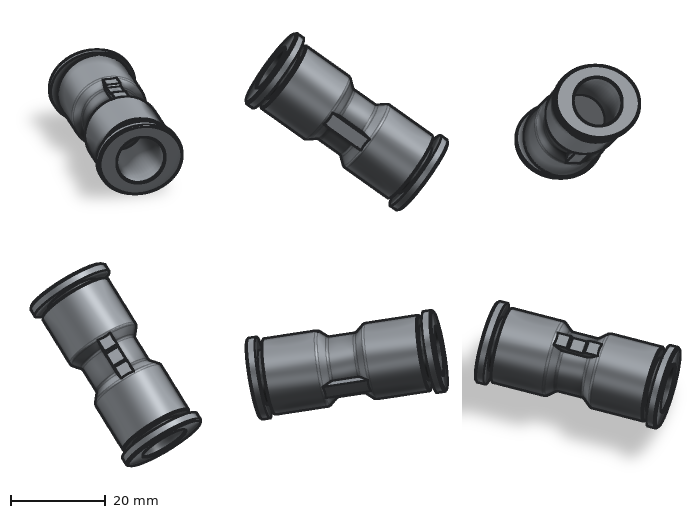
import cadquery as cq
import math

half_length = 20.0

flange_width = 18.5
flange_height = 16.1
flange_thickness = 2.0
flange_chamfer = 0.35
neck_radius = 5.9

body_half_length = 16.8
body_radius = 8.15
body_chamfer = 0.25
waist_radius = 6.5
waist_half_length = 3.0
shoulder_half_length = 5.05
waist_fillet = 0.9

rib_width = 3.1
rib_top = 7.9
notch_depth = 0.5
notch_floor_half_length = 1.55
notch_top_half_length = 2.0

socket_radius = 5.15
socket_chamfer = 0.25
socket_depth = half_length - waist_half_length


def make_body():
    """Revolve the waisted body, with its shoulders and waist corners rounded."""
    slope = math.atan2(body_radius - waist_radius, shoulder_half_length - waist_half_length)
    tangent = waist_fillet * math.tan(slope / 2)
    along = tangent * math.cos(slope)
    across = tangent * math.sin(slope)
    to_arc_middle = waist_fillet * math.sin(slope / 2)
    middle_rise = waist_fillet * (1 - math.cos(slope / 2))

    waist_start = waist_half_length - tangent
    shoulder_end = shoulder_half_length + tangent
    half_profile = (
        cq.Workplane("XY")
        .moveTo(0, 0)
        .lineTo(0, waist_radius)
        .lineTo(waist_start, waist_radius)
        .threePointArc(
            (waist_start + to_arc_middle, waist_radius + middle_rise),
            (waist_half_length + along, waist_radius + across),
        )
        .lineTo(shoulder_half_length - along, body_radius - across)
        .threePointArc(
            (shoulder_end - to_arc_middle, body_radius - middle_rise),
            (shoulder_end, body_radius),
        )
        .lineTo(body_half_length - body_chamfer, body_radius)
        .lineTo(body_half_length, body_radius - body_chamfer)
        .lineTo(body_half_length, 0)
        .close()
    )
    half_body = half_profile.revolve(360, (0, 0, 0), (1, 0, 0))
    return half_body.union(half_body.mirror("YZ"))


def make_ribs():
    """Make one slab forming both ribs, with a sloped notch in the upper one."""
    notch_floor = rib_top - notch_depth
    outline = [
        (-shoulder_half_length, -rib_top),
        (shoulder_half_length, -rib_top),
        (shoulder_half_length, rib_top),
        (notch_top_half_length, rib_top),
        (notch_floor_half_length, notch_floor),
        (-notch_floor_half_length, notch_floor),
        (-notch_top_half_length, rib_top),
        (-shoulder_half_length, rib_top),
    ]
    return cq.Workplane("XZ").polyline(outline).close().extrude(rib_width / 2, both=True)


def make_collar():
    """Make the collar at the +X end: oval flange, outer edge chamfered, and neck."""
    flange = (
        cq.Workplane("YZ", origin=(half_length - flange_thickness, 0, 0))
        .ellipse(flange_width / 2, flange_height / 2)
        .extrude(flange_thickness)
        .faces(">X")
        .chamfer(flange_chamfer)
    )
    neck = (
        cq.Workplane("YZ", origin=(body_half_length, 0, 0))
        .circle(neck_radius)
        .extrude(half_length - flange_thickness - body_half_length)
    )
    return flange.union(neck)


def make_socket():
    """Make the cutter for the blind tube socket at the +X end, with a chamfered mouth."""
    floor = half_length - socket_depth
    profile = [
        (floor, 0),
        (floor, socket_radius),
        (half_length - socket_chamfer, socket_radius),
        (half_length, socket_radius + socket_chamfer),
        (half_length, 0),
    ]
    return cq.Workplane("XY").polyline(profile).close().revolve(360, (0, 0, 0), (1, 0, 0))


collar = make_collar()
socket = make_socket()

result = make_body().union(make_ribs())
result = result.union(collar).union(collar.mirror("YZ"))
result = result.cut(socket).cut(socket.mirror("YZ"))